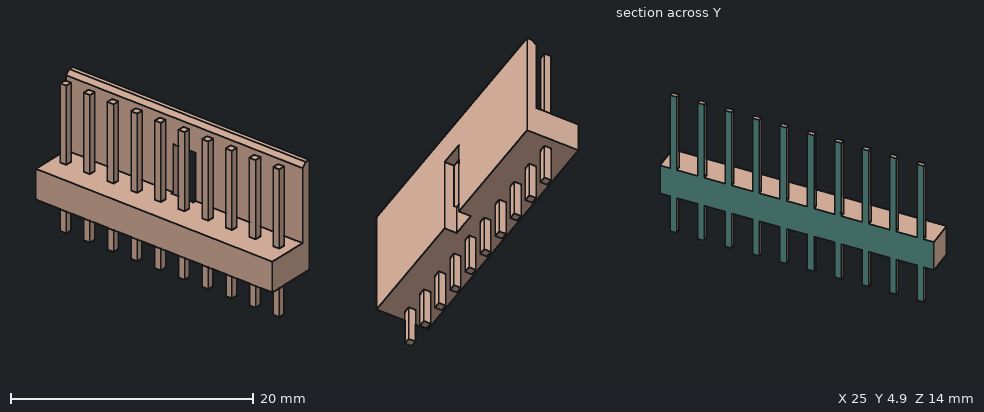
import cadquery as cq

pin_count = 10
pin_pitch = 2.5
housing_length = pin_count * pin_pitch
housing_depth = 4.9
base_height = 2.92
wall_thickness = 0.9
wall_height = 7.5
chamfer_depth = 0.42
chamfer_height = 0.4

slot_width = 2.35
slot_depth = 1.15
slot_top_drop = 2.95

pin_size = 0.65
pin_tail = 3.58
pin_to_back = 2.5

front_y = -housing_depth / 2
back_y = housing_depth / 2
wall_front_y = back_y - wall_thickness
top_z = base_height + wall_height


def make_housing():
    """Extrude the chamfered L profile along X."""
    profile = [
        (front_y, 0),
        (back_y, 0),
        (back_y, top_z),
        (wall_front_y + chamfer_depth, top_z),
        (wall_front_y, top_z - chamfer_height),
        (wall_front_y, base_height),
        (front_y, base_height),
    ]
    return cq.Workplane("YZ").polyline(profile).close().extrude(housing_length / 2, both=True)


def make_slot():
    """Cutter for the central slot, from the base underside to below the wall top."""
    return (
        cq.Workplane("XY")
        .center(0, back_y - slot_depth / 2)
        .rect(slot_width, slot_depth)
        .extrude(top_z - slot_top_drop)
    )


def make_pins():
    """One row of square pins passing through the base."""
    return (
        cq.Workplane("XY", origin=(0, back_y - pin_to_back, -pin_tail))
        .rarray(pin_pitch, 0.25, pin_count, 1)
        .rect(pin_size, pin_size)
        .extrude(pin_tail + top_z)
    )


result = make_housing().cut(make_slot()).union(make_pins())